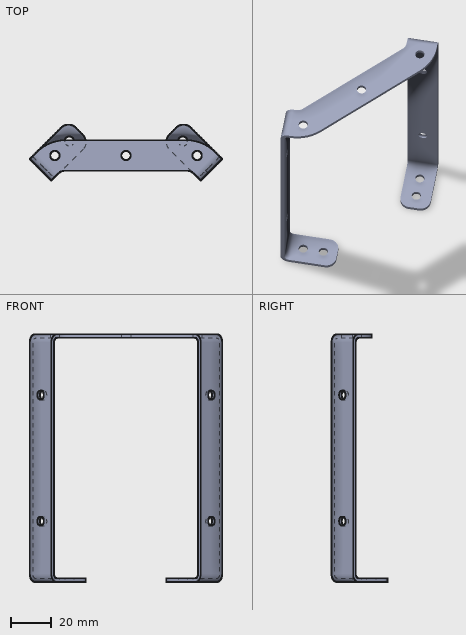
import cadquery as cq
import math

height = 122.0
overall_length = 94.7
strip_width = 15.0
thickness = 2.0
bend_radius = 4.0
inner_bend_radius = bend_radius - thickness

hole_diameter = 4.5
hole_pitch = 10.0
foot_hole_count = 2
leg_hole_end_distance = 30.0

foot_length = 27.0
foot_corner_radius = 5.0
leg_angle = 45.0
bar_inner_radius = 5.0
bar_outer_radius = bar_inner_radius + strip_width

cosine = math.cos(math.radians(leg_angle))
sine = math.sin(math.radians(leg_angle))
half_width = strip_width / 2
leg_x = -overall_length / 2 + half_width * sine
leg_y = -hole_pitch * sine
bar_hole_x = -(leg_x + hole_pitch * cosine)


def plan_point(along, across):
    """Plan position for distances along and across the left foot's centreline."""
    return (
        leg_x + along * cosine - across * sine,
        leg_y + along * sine + across * cosine,
    )


def edge_crossing(across):
    """Where a long edge of the left foot strip crosses the matching edge of the bar."""
    x, y = plan_point(0, across)
    return (x + (across - y) * cosine / sine, across)


def make_left_side():
    """Leg with its upper bend and lower foot, moved into place on the left."""
    side = (
        cq.Workplane("XZ")
        .moveTo(foot_length, 0)
        .lineTo(bend_radius, 0)
        .radiusArc((0, bend_radius), bend_radius)
        .lineTo(0, height - bend_radius)
        .radiusArc((bend_radius, height), bend_radius)
        .lineTo(bend_radius, height - thickness)
        .radiusArc((thickness, height - bend_radius), -inner_bend_radius)
        .lineTo(thickness, bend_radius)
        .radiusArc((bend_radius, thickness), -inner_bend_radius)
        .lineTo(foot_length, thickness)
        .close()
        .extrude(half_width, both=True)
    )
    foot_end = cq.selectors.BoxSelector(
        (foot_length - thickness, -strip_width, -thickness),
        (foot_length + thickness, strip_width, 2 * thickness),
    )
    side = side.edges(foot_end).edges("|Z").fillet(foot_corner_radius)

    foot_holes = (
        cq.Workplane("XY")
        .pushPoints([(hole_pitch * (i + 1), 0) for i in range(foot_hole_count)])
        .circle(hole_diameter / 2)
        .extrude(thickness)
    )
    leg_holes = (
        cq.Workplane("YZ")
        .pushPoints([(0, leg_hole_end_distance), (0, height - leg_hole_end_distance)])
        .circle(hole_diameter / 2)
        .extrude(thickness)
    )
    side = side.cut(foot_holes).cut(leg_holes)
    return side.rotate((0, 0, 0), (0, 0, 1), leg_angle).translate((leg_x, leg_y, 0))


def make_top_bar():
    """Flat bar whose angled ends stop where the leg bends begin."""
    left_points = [
        edge_crossing(half_width),
        plan_point(bend_radius, half_width),
        plan_point(bend_radius, -half_width),
        edge_crossing(-half_width),
    ]
    right_points = [(-x, y) for x, y in reversed(left_points)]
    bar = (
        cq.Workplane("XY")
        .workplane(offset=height - thickness)
        .polyline(left_points + right_points)
        .close()
        .extrude(thickness)
    )
    for across, radius in ((half_width, bar_outer_radius), (-half_width, bar_inner_radius)):
        corner_x, corner_y = edge_crossing(across)
        for x in (corner_x, -corner_x):
            corner = cq.selectors.NearestToPointSelector((x, corner_y, height - thickness / 2))
            bar = bar.edges("|Z").edges(corner).fillet(radius)
    holes = (
        cq.Workplane("XY")
        .workplane(offset=height - thickness)
        .pushPoints([(-bar_hole_x, 0), (0, 0), (bar_hole_x, 0)])
        .circle(hole_diameter / 2)
        .extrude(thickness)
    )
    return bar.cut(holes)


left_side = make_left_side()
right_side = left_side.mirror("YZ")
result = make_top_bar().union(left_side).union(right_side)